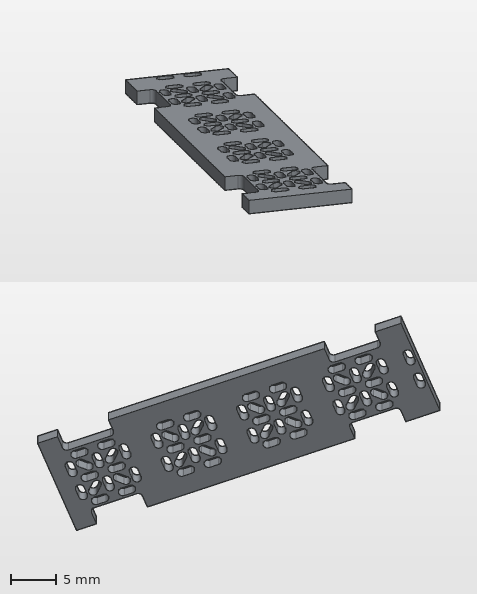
import cadquery as cq

length = 43
width = 12.0
thickness = 1.6

notch_depth = 2.0
notch_length = 6.0
notch_radius = 0.5
top_left_notch_start = 3.05
bottom_left_notch_start = 4.05
right_notch_start = 34.6

slot_length = 1.98
slot_width = 1.0
slot_pitch = 3.2
half_pitch = slot_pitch / 2

rosette_count = 4
rosette_pitch = 10.15
first_rosette_x = 7.1
rosette_drop = 0.02
rosette_y = width / 2 - rosette_drop

ALONG_X = 0
ALONG_Y = 90
RISING = 45
FALLING = -45


def make_notch(start_x, at_top):
    """Cutter for an edge notch that has rounded inner corners."""
    notch = cq.Workplane("XY").box(notch_length, 2 * notch_depth, thickness, centered=(True, True, False))
    notch = notch.edges("|Z").fillet(notch_radius)
    edge_y = width if at_top else 0
    return notch.translate((start_x + notch_length / 2, edge_y, 0))


def cut_slots(body, centers, direction):
    """Cut through slots at the given centers."""
    outlines = cq.Workplane("XY").pushPoints(centers).slot2D(slot_length, slot_width, direction)
    slots = outlines.extrude(thickness)
    return body.cut(slots)


def cut_rosette(body, center_x):
    """Cut one rosette: a grid of two by two cells with slots on the cell sides and diagonals."""
    upright = []
    level = []
    rising = []
    falling = []
    for side in (-1, 1):
        for line in (-1, 0, 1):
            upright.append((center_x + line * slot_pitch, rosette_y + side * half_pitch))
            level.append((center_x + side * half_pitch, rosette_y + line * slot_pitch))
        rising.append((center_x + side * half_pitch, rosette_y + side * half_pitch))
        falling.append((center_x + side * half_pitch, rosette_y - side * half_pitch))
    body = cut_slots(body, upright, ALONG_Y)
    body = cut_slots(body, level, ALONG_X)
    body = cut_slots(body, rising, RISING)
    return cut_slots(body, falling, FALLING)


plate = cq.Workplane("XY").box(length, width, thickness, centered=False)

plate = plate.cut(make_notch(top_left_notch_start, True))
plate = plate.cut(make_notch(bottom_left_notch_start, False))
for at_top in (True, False):
    plate = plate.cut(make_notch(right_notch_start, at_top))

for index in range(rosette_count):
    plate = cut_rosette(plate, first_rosette_x + index * rosette_pitch)

end_slot_x = first_rosette_x - 2 * slot_pitch
end_slots = [(end_slot_x, rosette_y + side * half_pitch) for side in (-1, 1)]
plate = cut_slots(plate, end_slots, ALONG_Y)

result = plate